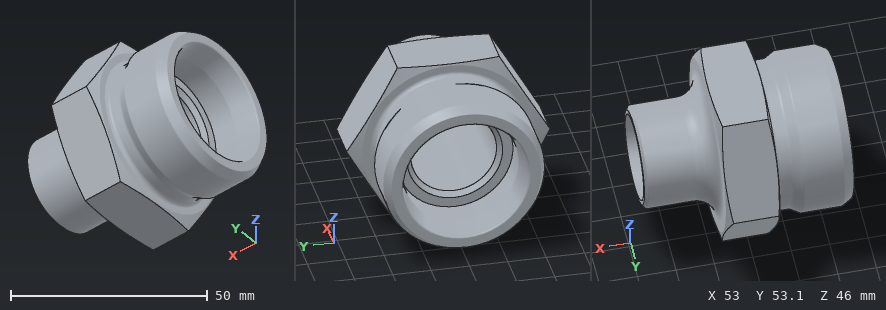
import cadquery as cq
import math

total_length = 53.0

thread_radius = 42.0 / 2
groove_radius = 38.9 / 2
thread_end = 13.2
thread_bevel_angle = math.radians(30)
rim_round = 0.2
thread_round = 0.8
groove_round = 1.1
shoulder_round = 1.2

hex_across_flats = 46.0
hex_start = 20.0
hex_end = 34.0
hex_face_radius = 45.0 / 2
hex_bevel_angle = math.radians(15)

spigot_radius = 26.9 / 2
spigot_fillet = 6.0
tip_bevel_height = 1.2
tip_bevel_angle = math.radians(55)
tip_round = 0.2

bore_radius = 22.3 / 2
seat_radius = 30.22 / 2
mouth_radius = 33.0 / 2
cone_half_angle = math.radians(12)
seat_depth = 13.5
bore_bevel = 1.3
mouth_round = 0.5

thread_bevel_height = thread_radius - groove_radius
thread_bevel_length = thread_bevel_height / math.tan(thread_bevel_angle)
groove_start = thread_end + thread_bevel_length
tip_bevel_start = total_length - tip_bevel_height / math.tan(tip_bevel_angle)
cone_length = (mouth_radius - seat_radius) / math.tan(cone_half_angle)
hex_corner_radius = hex_across_flats / 2 / math.cos(math.radians(30))


def revolve_about_x(profile):
    """Close an (x, radius) profile and spin it around the X axis."""
    return profile.close().revolve(360, (0, 0, 0), (1, 0, 0))


def round_circle(body, x, radius, size):
    """Round the circular edge of the given radius at station x."""
    margin = 0.01
    near_ring = cq.selectors.BoxSelector(
        (x - margin, -radius - margin, -radius - margin),
        (x + margin, radius + margin, radius + margin),
        boundingbox=True,
    )
    inside_ring = cq.selectors.BoxSelector(
        (x - margin, -radius + margin, -radius + margin),
        (x + margin, radius - margin, radius - margin),
        boundingbox=True,
    )
    return body.edges(near_ring - inside_ring).fillet(size)


def make_turned_body():
    """Threaded end, relief groove and spigot, still solid inside."""
    profile = (
        cq.Workplane("XY")
        .lineTo(0, groove_radius)
        .lineTo(thread_bevel_length, thread_radius)
        .lineTo(thread_end, thread_radius)
        .lineTo(groove_start, groove_radius)
        .lineTo(hex_start, groove_radius)
        .lineTo(hex_start, hex_face_radius)
        .lineTo(hex_end, hex_face_radius)
        .lineTo(hex_end, spigot_radius)
        .lineTo(tip_bevel_start, spigot_radius)
        .lineTo(total_length, spigot_radius - tip_bevel_height)
        .lineTo(total_length, 0)
    )
    body = revolve_about_x(profile)
    body = round_circle(body, 0, groove_radius, rim_round)
    body = round_circle(body, thread_bevel_length, thread_radius, thread_round)
    body = round_circle(body, thread_end, thread_radius, thread_round)
    body = round_circle(body, groove_start, groove_radius, groove_round)
    body = round_circle(body, hex_start, groove_radius, shoulder_round)
    body = round_circle(body, hex_end, spigot_radius, spigot_fillet)
    return round_circle(body, tip_bevel_start, spigot_radius, tip_round)


def make_hexagon():
    """Hexagon with corners on +Y and -Y, both faces bevelled at the corners."""
    prism = (
        cq.Workplane("YZ", origin=(hex_start, 0, 0))
        .polygon(6, 2 * hex_corner_radius)
        .extrude(hex_end - hex_start)
    )
    bevel_length = (hex_corner_radius - hex_face_radius) * math.tan(hex_bevel_angle)
    envelope = revolve_about_x(
        cq.Workplane("XY")
        .moveTo(hex_start, 0)
        .lineTo(hex_start, hex_face_radius)
        .lineTo(hex_start + bevel_length, hex_corner_radius)
        .lineTo(hex_end - bevel_length, hex_corner_radius)
        .lineTo(hex_end, hex_face_radius)
        .lineTo(hex_end, 0)
    )
    return prism.intersect(envelope)


def make_bore():
    """Tapered mouth, straight tube seat and bevelled through bore."""
    return revolve_about_x(
        cq.Workplane("XY")
        .lineTo(0, mouth_radius)
        .lineTo(cone_length, seat_radius)
        .lineTo(seat_depth, seat_radius)
        .lineTo(seat_depth, bore_radius + bore_bevel)
        .lineTo(seat_depth + bore_bevel, bore_radius)
        .lineTo(total_length, bore_radius)
        .lineTo(total_length, 0)
    )


fitting = make_turned_body().union(make_hexagon()).cut(make_bore())
result = round_circle(fitting, 0, mouth_radius, mouth_round)